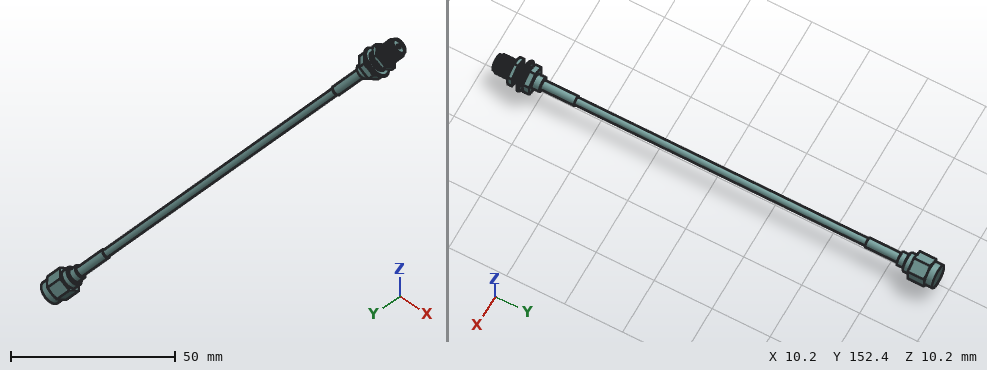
import cadquery as cq
import math

LENGTH = 152.4

CABLE_DIA = 2.6
SLEEVE_DIA = 3.2
SOCKET_SLEEVE_END = 27.6
PLUG_SLEEVE_END = 128.0

HEX_FLATS = 8.0
HEX_CORNERS = HEX_FLATS / math.cos(math.pi / 6)
HEX_TURN = 30
BEVEL_FACE_DIA = 7.8
BEVEL_DEPTH = 0.23

PLUG_RIM_DIA = 7.8
PLUG_HEX_FRONT = 149.8
PLUG_HEX_BACK = 144.0
PLUG_COLLAR_DIA = 6.4
PLUG_COLLAR_BACK = 141.7
COLLAR_CHAMFER = 0.23
PLUG_FERRULE_DIA = 4.5
PLUG_FERRULE_BACK = 139.3

SOCKET_FERRULE_DIA = 4.9
SOCKET_FERRULE_BACK = 16.0
FLANGE_BACK = 13.4
FLANGE_FRONT = 11.1
NUT_BACK = 7.5
NUT_FRONT = 5.8
THREAD_DIA = 6.4
THREAD_ROOT_DIA = 5.8
THREAD_RIDGES = 22
NOSE_DIA = 5.3
THREAD_START = 0.9
BORE_DIA = 4.9
BORE_DEPTH = 0.5
CONTACT_DIA = 1.26
CONTACT_HOLE_DIA = 0.9
CONTACT_HOLE_DEPTH = 2.3

WASHER_DIA = 10.2
WASHER_BORE_DIA = 6.5
WASHER_THICKNESS = 0.9
WASHER_CENTRE = 9.9
WASHER_BEVEL = 0.3


def cylinder(diameter, start, end):
    """Round bar along Y from start to end."""
    return cq.Workplane("XZ", origin=(0, start, 0)).circle(diameter / 2).extrude(start - end)


def revolve_profile(points):
    """Turn a closed (radius, y) outline about the Y axis."""
    return cq.Workplane("XY").polyline(points).close().revolve(360, (0, 0), (0, 1))


def hexagon(start, end, bevel_start, bevel_end):
    """Hexagon with corners up and down, its corners bevelled at the chosen ends."""
    prism = (
        cq.Workplane("XZ", origin=(0, start, 0))
        .polygon(6, HEX_CORNERS)
        .extrude(start - end)
        .rotate((0, 0, 0), (0, 1, 0), HEX_TURN)
    )
    rim = HEX_CORNERS / 2
    face = BEVEL_FACE_DIA / 2
    outline = [(0, start)]
    outline += [(face, start), (rim, start + BEVEL_DEPTH)] if bevel_start else [(rim, start)]
    outline += [(rim, end - BEVEL_DEPTH), (face, end)] if bevel_end else [(rim, end)]
    outline.append((0, end))
    return prism.intersect(revolve_profile(outline))


def make_plug():
    """Rim, coupling hexagon, collar and ferrule at the far end of the cable."""
    rim = cylinder(PLUG_RIM_DIA, PLUG_HEX_FRONT, LENGTH)
    coupling_hex = hexagon(PLUG_HEX_BACK, PLUG_HEX_FRONT, False, True)
    collar = cylinder(PLUG_COLLAR_DIA, PLUG_COLLAR_BACK, PLUG_HEX_BACK).faces("<Y").chamfer(COLLAR_CHAMFER)
    ferrule = cylinder(PLUG_FERRULE_DIA, PLUG_FERRULE_BACK, PLUG_COLLAR_BACK)
    return rim.union(coupling_hex).union(collar).union(ferrule)


def make_cable():
    """Cable core with a sleeve at each end."""
    socket_sleeve = cylinder(SLEEVE_DIA, SOCKET_FERRULE_BACK, SOCKET_SLEEVE_END)
    core = cylinder(CABLE_DIA, SOCKET_SLEEVE_END, PLUG_SLEEVE_END)
    plug_sleeve = cylinder(SLEEVE_DIA, PLUG_SLEEVE_END, PLUG_FERRULE_BACK)
    return socket_sleeve.union(core).union(plug_sleeve)


def make_thread():
    """Nose and V-grooved barrel, from the socket mouth to the flange."""
    root = THREAD_ROOT_DIA / 2
    crest = THREAD_DIA / 2
    points = [(0, 0), (NOSE_DIA / 2, 0), (NOSE_DIA / 2, THREAD_START), (root, THREAD_START)]
    pitch = (FLANGE_FRONT - THREAD_START) / THREAD_RIDGES
    for ridge in range(THREAD_RIDGES):
        groove = THREAD_START + ridge * pitch
        points.append((crest, groove + pitch / 2))
        points.append((root, groove + pitch))
    points.append((0, FLANGE_FRONT))
    return revolve_profile(points)


def make_socket():
    """Threaded bulkhead socket with flange, nut, ferrule and centre contact."""
    ferrule = cylinder(SOCKET_FERRULE_DIA, FLANGE_BACK, SOCKET_FERRULE_BACK)
    flange = hexagon(FLANGE_FRONT, FLANGE_BACK, True, False)
    nut = hexagon(NUT_FRONT, NUT_BACK, True, False)
    bore = cylinder(BORE_DIA, 0, BORE_DEPTH)
    contact = cylinder(CONTACT_DIA, 0, BORE_DEPTH)
    contact_hole = cylinder(CONTACT_HOLE_DIA, 0, CONTACT_HOLE_DEPTH)
    body = make_thread().union(ferrule).union(flange).union(nut)
    return body.cut(bore).union(contact).cut(contact_hole)


def make_washer():
    """Flat ring with a bevelled rim that hangs free around the thread."""
    front = WASHER_CENTRE - WASHER_THICKNESS / 2
    back = WASHER_CENTRE + WASHER_THICKNESS / 2
    ring = cylinder(WASHER_DIA, front, back).faces("<Y or >Y").chamfer(WASHER_BEVEL)
    return ring.cut(cylinder(WASHER_BORE_DIA, front, back))


cable_assembly = make_socket().union(make_cable()).union(make_plug())
lock_washer = make_washer()

result = cq.Compound.makeCompound([cable_assembly.val(), lock_washer.val()])